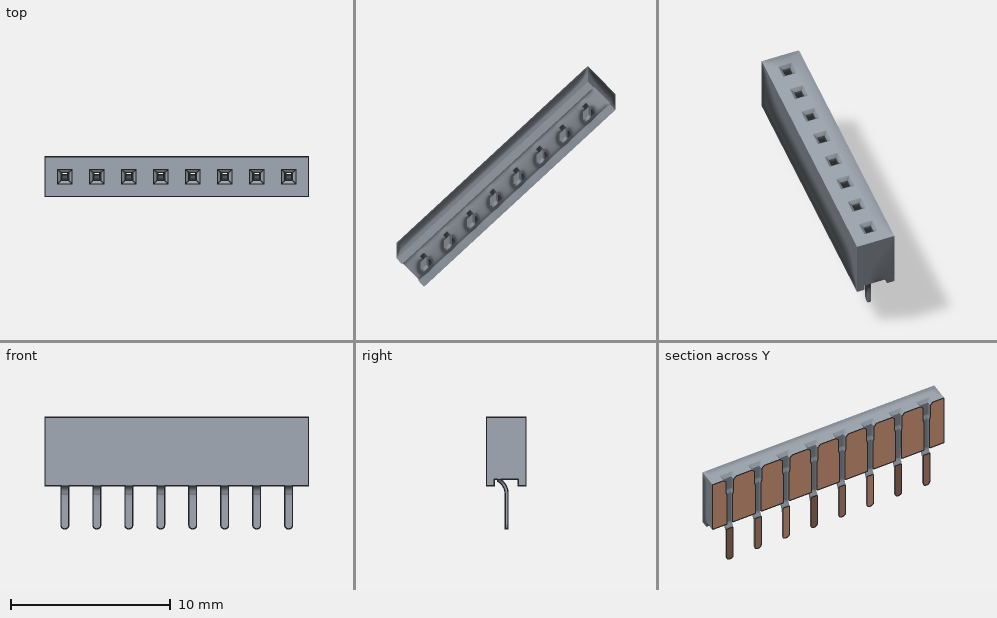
import cadquery as cq
import math

contact_count = 8
pitch = 2.0

housing_length = 16.5
housing_width = 2.5
housing_height = 4.3
recess_width = 1.5
recess_depth = 0.4

funnel_mouth = 0.9
throat_size = 0.5
funnel_depth = 0.2
throat_depth = 1.0
lead_in_depth = 0.25
socket_length = 0.36
socket_front_y = -0.16
socket_back_y = 0.28

contact_width = 0.5
contact_thickness = 0.2
leg_drop = 2.7
leg_front_y = -0.075
bend_inner_radius = 0.9
bend_drop = 0.5
contact_end_y = -0.54

contact_xs = [(i - (contact_count - 1) / 2) * pitch for i in range(contact_count)]
funnel_bottom = housing_height - funnel_depth
throat_bottom = funnel_bottom - throat_depth
lead_in_bottom = throat_bottom - lead_in_depth
socket_width = socket_back_y - socket_front_y
socket_center_y = (socket_back_y + socket_front_y) / 2
leg_back_y = leg_front_y + contact_thickness
bend_outer_radius = bend_inner_radius + contact_thickness
bend_center_y = leg_front_y - bend_inner_radius


def block(length, width, height, x=0, y=0, z=0):
    """Box centred on (x, y) that rises from z."""
    return cq.Workplane("XY", origin=(x, y, z)).box(length, width, height, centered=(True, True, False))


def make_funnel(x):
    """Square funnel that narrows from the top face."""
    return (
        cq.Workplane("XY", origin=(x, 0, funnel_bottom))
        .rect(throat_size, throat_size)
        .workplane(offset=funnel_depth)
        .rect(funnel_mouth, funnel_mouth)
        .loft()
    )


def make_lead_in(x):
    """Steep taper from the funnel throat to the socket."""
    return (
        cq.Workplane("XY", origin=(x, 0, lead_in_bottom))
        .center(0, socket_center_y)
        .rect(socket_length, socket_width)
        .workplane(offset=lead_in_depth)
        .center(0, -socket_center_y)
        .rect(throat_size, throat_size)
        .loft()
    )


def make_housing():
    body = block(housing_length, housing_width, housing_height)
    body = body.cut(block(housing_length, recess_width, recess_depth))
    for x in contact_xs:
        socket = block(socket_length, socket_width, lead_in_bottom, x, socket_center_y)
        throat = block(throat_size, throat_size, throat_depth, x, 0, throat_bottom)
        body = body.cut(make_funnel(x)).cut(throat).cut(make_lead_in(x)).cut(socket)
    return body


def bend_z(radius, y):
    """Height of a bend arc at the given Y."""
    return -bend_drop + math.sqrt(radius**2 - (y - bend_center_y) ** 2)


def bend_y(radius, z):
    """Y of a bend arc at the given height."""
    return bend_center_y + math.sqrt(radius**2 - (z + bend_drop) ** 2)


def make_contact(x):
    """Flat leg with a rounded tip that bends toward -Y and ends flush with the recess ceiling."""
    tip_radius = contact_width / 2
    inner_end_z = bend_z(bend_inner_radius, contact_end_y)
    inner_mid_z = (inner_end_z - bend_drop) / 2
    outer_mid_z = (recess_depth - bend_drop) / 2
    side_profile = (
        cq.Workplane("YZ", origin=(x - contact_width / 2, 0, 0))
        .moveTo(leg_front_y, -leg_drop)
        .lineTo(leg_front_y, -bend_drop)
        .threePointArc((bend_y(bend_inner_radius, inner_mid_z), inner_mid_z), (contact_end_y, inner_end_z))
        .lineTo(contact_end_y, recess_depth)
        .lineTo(bend_y(bend_outer_radius, recess_depth), recess_depth)
        .threePointArc((bend_y(bend_outer_radius, outer_mid_z), outer_mid_z), (leg_back_y, -bend_drop))
        .lineTo(leg_back_y, -leg_drop)
        .close()
        .extrude(contact_width)
    )
    tip_center_z = tip_radius - leg_drop
    front_outline = (
        cq.Workplane("XZ", origin=(x, leg_back_y, 0))
        .moveTo(-tip_radius, tip_center_z)
        .threePointArc((0, -leg_drop), (tip_radius, tip_center_z))
        .lineTo(tip_radius, recess_depth)
        .lineTo(-tip_radius, recess_depth)
        .close()
        .extrude(leg_back_y - contact_end_y)
    )
    return side_profile.intersect(front_outline)


housing = make_housing()
contacts = [make_contact(x) for x in contact_xs]
result = cq.Compound.makeCompound([housing.val(), *[contact.val() for contact in contacts]])